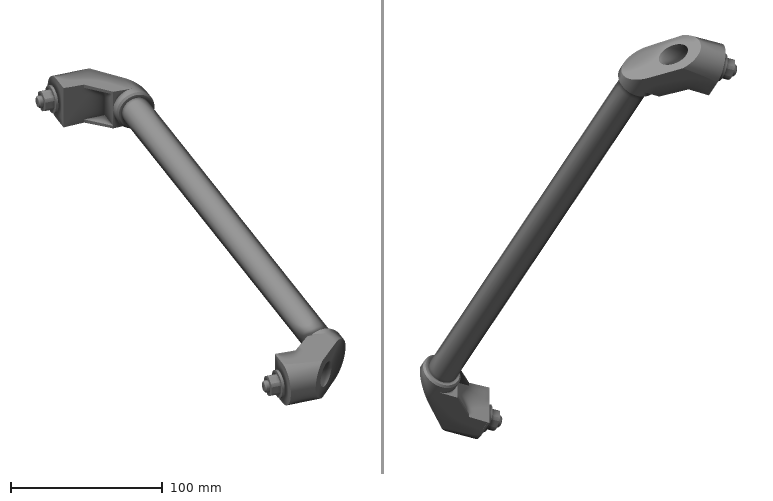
import cadquery as cq


length = 430.0

tube_diameter = 20.0
collar_diameter = 27.0
collar_radius = collar_diameter / 2
collar_start = 43.5
collar_end = 50.5
collar_chamfer = 1.5
crest = 56.5
tube_y = crest - collar_radius

foot_diameter = 30.0
foot_radius = foot_diameter / 2
foot_inner_x = 28.5
foot_base = 1.7
foot_step = 0.1
outer_wall_height = 17.5
inner_bend_y = 14.5

recess_height = 24.0
recess_top_y = crest - collar_diameter

access_diameter = 16.0
access_floor_y = 17.0

stud_diameter = 8.0
stud_length = 13.5
stud_chamfer = 1.0
washer_diameter = 19.0
washer_start = 2.0
washer_thickness = 1.7
nut_across_flats = 13.5
nut_thickness = 6.5
nut_corner_diameter = 14.0


def cylinder_down(diameter, start, height):
    """Cylinder on the foot axis, running toward -Y from a distance below the foot."""
    return (
        cq.Workplane("XZ", origin=(foot_radius, -start, 0))
        .circle(diameter / 2)
        .extrude(height)
    )


def bracket_body():
    """Cranked body: the common volume of its outlines along Z, X and Y."""
    crank = (
        cq.Workplane("XY")
        .moveTo(0, 0)
        .lineTo(0, outer_wall_height)
        .lineTo(collar_start, crest)
        .lineTo(collar_start, crest - collar_diameter)
        .lineTo(foot_inner_x, inner_bend_y)
        .lineTo(foot_inner_x, 0)
        .close()
        .extrude(foot_radius, both=True)
    )
    tapered_sides = (
        cq.Workplane("YZ")
        .moveTo(0, -foot_radius)
        .lineTo(foot_base, -foot_radius)
        .lineTo(foot_base, foot_step - foot_radius)
        .lineTo(tube_y, -collar_radius)
        .threePointArc((crest, 0), (tube_y, collar_radius))
        .lineTo(foot_base, foot_radius - foot_step)
        .lineTo(foot_base, foot_radius)
        .lineTo(0, foot_radius)
        .close()
        .extrude(collar_start)
    )
    round_foot = (
        cq.Workplane("XZ")
        .moveTo(foot_radius, -foot_radius)
        .lineTo(collar_start, -foot_radius)
        .lineTo(collar_start, foot_radius)
        .lineTo(foot_radius, foot_radius)
        .threePointArc((0, 0), (foot_radius, -foot_radius))
        .close()
        .extrude(-crest)
    )
    return crank.intersect(tapered_sides).intersect(round_foot)


def collar():
    return (
        cq.Workplane("YZ", origin=(collar_start, tube_y, 0))
        .circle(collar_radius)
        .extrude(collar_end - collar_start)
        .faces(">X")
        .edges()
        .chamfer(collar_chamfer)
    )


def corner_recess():
    """Triangular recess whose side wall continues the inner wall of the foot."""
    return (
        cq.Workplane("XY")
        .moveTo(foot_inner_x, inner_bend_y)
        .lineTo(foot_inner_x, recess_top_y)
        .lineTo(collar_start, recess_top_y)
        .close()
        .extrude(recess_height / 2, both=True)
    )


def access_hole():
    return (
        cq.Workplane("XZ", origin=(foot_radius, access_floor_y, 0))
        .circle(access_diameter / 2)
        .extrude(access_floor_y - crest)
    )


def nut():
    """Hexagon nut with corners toward +Z and -Z, its corners turned round."""
    start = washer_start + washer_thickness
    hexagon = (
        cq.Workplane("XZ", origin=(foot_radius, -start, 0))
        .polygon(6, nut_across_flats, circumscribed=True)
        .extrude(nut_thickness)
    )
    return hexagon.intersect(cylinder_down(nut_corner_diameter, start, nut_thickness))


def fastener():
    stud = cylinder_down(stud_diameter, 0, stud_length)
    stud = stud.faces("<Y").chamfer(stud_chamfer)
    washer = cylinder_down(washer_diameter, washer_start, washer_thickness)
    return stud.union(washer).union(nut())


def bracket():
    body = bracket_body().union(collar())
    return body.cut(corner_recess()).cut(access_hole()).union(fastener())


left_bracket = bracket()
right_bracket = left_bracket.rotate((length / 2, 0, 0), (length / 2, 1, 0), 180)
tube = (
    cq.Workplane("YZ", origin=(collar_end, tube_y, 0))
    .circle(tube_diameter / 2)
    .extrude(length - 2 * collar_end)
)

result = tube.union(left_bracket).union(right_bracket)